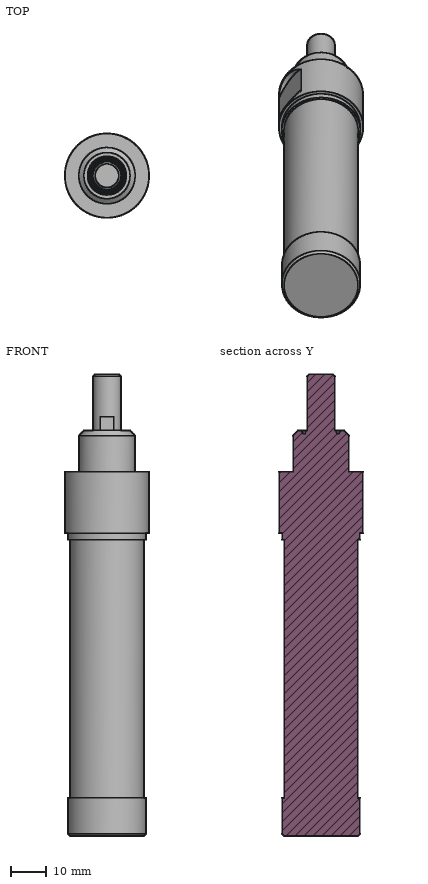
import cadquery as cq

TOTAL_LENGTH = 131.0
REAR_CAP_TOP = 10.9
COLLAR_BOTTOM = 84.0
HEAD_BOTTOM = 86.0
HEAD_TOP = 103.4
NECK_TOP = 115.0

TUBE_DIAMETER = 21.1
CAP_DIAMETER = 22.3
HEAD_DIAMETER = 24.0
NECK_DIAMETER = 16.0
ROD_DIAMETER = 8.0

REAR_CHAMFER = 0.7
NECK_CHAMFER = 1.5
ROD_CHAMFER = 0.7

GROOVE_INNER_TOP_DIAMETER = 8.5
GROOVE_INNER_FLOOR_DIAMETER = 9.3
GROOVE_OUTER_FLOOR_DIAMETER = 10.1
GROOVE_OUTER_TOP_DIAMETER = 11.0
GROOVE_DEPTH = 0.9

FLAT_SPACING = 7.1
FLAT_TOP = 119.0

PORT_DIAMETER = 16.0
PORT_FLOOR_Y = 10.5


def cylinder(diameter, bottom, top):
    return cq.Workplane("XY").workplane(offset=bottom).circle(diameter / 2).extrude(top - bottom)


def make_body():
    rear_cap = cylinder(CAP_DIAMETER, 0, REAR_CAP_TOP).faces("<Z").edges().chamfer(REAR_CHAMFER)
    tube = cylinder(TUBE_DIAMETER, REAR_CAP_TOP, COLLAR_BOTTOM)
    collar = cylinder(CAP_DIAMETER, COLLAR_BOTTOM, HEAD_BOTTOM)
    head = cylinder(HEAD_DIAMETER, HEAD_BOTTOM, HEAD_TOP)
    neck = cylinder(NECK_DIAMETER, HEAD_TOP, NECK_TOP).faces(">Z").edges().chamfer(NECK_CHAMFER)
    return rear_cap.union(tube).union(collar).union(head).union(neck)


def make_wiper_groove():
    floor_z = NECK_TOP - GROOVE_DEPTH
    cross_section = [
        (GROOVE_INNER_TOP_DIAMETER / 2, NECK_TOP),
        (GROOVE_OUTER_TOP_DIAMETER / 2, NECK_TOP),
        (GROOVE_OUTER_FLOOR_DIAMETER / 2, floor_z),
        (GROOVE_INNER_FLOOR_DIAMETER / 2, floor_z),
    ]
    return cq.Workplane("XZ").polyline(cross_section).close().revolve(360, (0, 0, 0), (0, 1, 0))


def make_port_spotface():
    center_z = (HEAD_BOTTOM + HEAD_TOP) / 2
    return (
        cq.Workplane("XZ", origin=(0, PORT_FLOOR_Y, center_z))
        .circle(PORT_DIAMETER / 2)
        .extrude(-HEAD_DIAMETER / 2)
    )


def make_rod():
    rod = cylinder(ROD_DIAMETER, NECK_TOP, TOTAL_LENGTH).faces(">Z").edges().chamfer(ROD_CHAMFER)
    between_flats = (
        cq.Workplane("XY")
        .workplane(offset=NECK_TOP)
        .rect(ROD_DIAMETER, FLAT_SPACING)
        .extrude(FLAT_TOP - NECK_TOP)
    )
    flats = cylinder(ROD_DIAMETER, NECK_TOP, FLAT_TOP).cut(between_flats)
    return rod.cut(flats)


result = make_body().cut(make_wiper_groove()).cut(make_port_spotface()).union(make_rod())